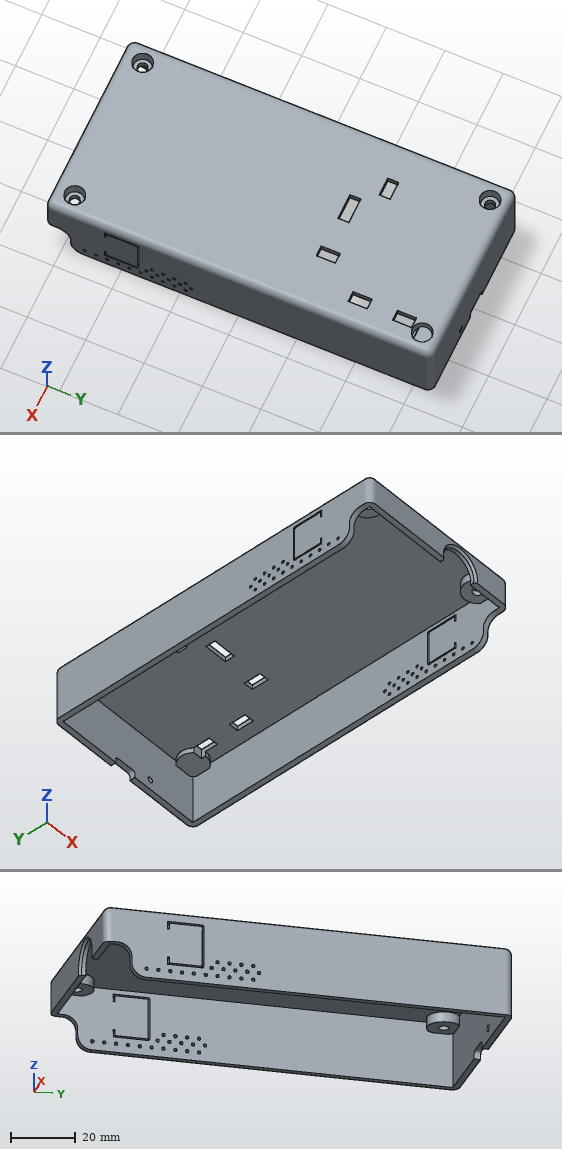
import cadquery as cq

WIDTH = 65.0
LENGTH = 132.5
HEIGHT = 23.0
WALL = 2.1
TOP_THICKNESS = 2.0
EDGE_RADIUS = 2.5
FRONT_Y = -LENGTH / 2
BACK_Y = LENGTH / 2
CEILING_Z = HEIGHT - TOP_THICKNESS
OVERCUT = 1.3
ACROSS = WIDTH + 2 * OVERCUT

STEP_HEIGHT = 10.9
STEP_DEPTH = 8.7
STEP_RADIUS = 4.5

ARCH_X = 9.8
ARCH_Z = 12.3
ARCH_DIAMETER = 14.3
ARCH_BEVEL = 0.8

NOTCH_X = -1.2
NOTCH_WIDTH = 8.9
NOTCH_HEIGHT = 2.5
NOTCH_CORNER_RADIUS = 1.0
PIN_HOLE_X = 10.5
PIN_HOLE_Z = 4.1
PIN_HOLE_DIAMETER = 2.0

SCREW_X = 25.8
SCREW_BACK_Y = 59.9
SCREW_FRONT_Y = -59.1
SEAT_TOP_DIAMETER = 6.8
SEAT_FLOOR_DIAMETER = 6.1
SEAT_DEPTH = 3.3
SCREW_HOLE_DIAMETER = 3.5
SEAT_FLOOR_THICKNESS = 2.0
BOSS_DIAMETER = SEAT_TOP_DIAMETER + 2 * SEAT_FLOOR_THICKNESS
THROUGH_SCREWS = [(-SCREW_X, SCREW_BACK_Y), (-SCREW_X, SCREW_FRONT_Y), (SCREW_X, SCREW_FRONT_Y)]

BLIND_X = SCREW_X
BLIND_Y = SCREW_BACK_Y
BLIND_DEPTH = TOP_THICKNESS
BLIND_STEP_OFFSET = 2.1
BLIND_STEP_DEPTH = 0.7
BLIND_PAD_THICKNESS = 1.3

WINDOW_WIDTH = 3.7
WINDOW_LENGTH = 6.5
LONG_WINDOW_LENGTH = 9.1
WINDOW_CUT_DEPTH = BLIND_DEPTH + BLIND_STEP_DEPTH + BLIND_PAD_THICKNESS + OVERCUT
WINDOWS = [
    (23.7, 52.9, WINDOW_WIDTH, WINDOW_LENGTH),
    (23.3, 37.5, WINDOW_WIDTH, WINDOW_LENGTH),
    (12.6, 21.7, WINDOW_WIDTH, WINDOW_LENGTH),
    (-16.5, 29.4, WINDOW_LENGTH, WINDOW_WIDTH),
    (-5.0, 21.1, LONG_WINDOW_LENGTH, WINDOW_WIDTH),
]

VENT_DIAMETER = 1.0
VENT_PITCH = 3.8
VENT_FRONT_Y = -52.7
VENT_ROWS = [(0, 2.9, 10), (5.5, 5.4, 5), (6, 7.5, 4)]

SLIT_WIDTH = 0.5
SLIT_LENGTH = 11.8
SLIT_HEIGHT = 14.5
SLIT_CENTER_Y = -40.0
SLIT_CENTER_Z = 12.3
SLIT_CORNER = 0.8
SLIT_GAP = 9.5


def block(x_size, y_size, z_size, x, y, z_bottom):
    """Box centred on (x, y) and standing on z_bottom."""
    base = cq.Workplane("XY", origin=(x, y, z_bottom))
    return base.box(x_size, y_size, z_size, centered=(True, True, False))


def upright_cylinder(diameter, x, y, z_bottom, z_top):
    return cq.Workplane("XY", origin=(x, y, z_bottom)).circle(diameter / 2).extrude(z_top - z_bottom)


def side_plane():
    """Sketch plane just outside the left side; local x is Y and local y is Z, facing +X."""
    return cq.Workplane("YZ", origin=(-WIDTH / 2 - OVERCUT, 0, 0))


def rounded_shell():
    outer = block(WIDTH, LENGTH, HEIGHT, 0, 0, 0)
    outer = outer.edges("|Z or >Z").fillet(EDGE_RADIUS)
    return outer.cut(block(WIDTH - 2 * WALL, LENGTH - 2 * WALL, CEILING_Z, 0, 0, 0))


def front_step():
    end_y = FRONT_Y + STEP_DEPTH
    outside_y = FRONT_Y - OVERCUT
    profile = (
        side_plane()
        .moveTo(outside_y, 0)
        .lineTo(end_y + STEP_RADIUS, 0)
        .radiusArc((end_y, STEP_RADIUS), STEP_RADIUS)
        .lineTo(end_y, STEP_HEIGHT - STEP_RADIUS)
        .radiusArc((end_y - STEP_RADIUS, STEP_HEIGHT), -STEP_RADIUS)
        .lineTo(outside_y, STEP_HEIGHT)
        .close()
    )
    return profile.extrude(ACROSS)


def front_arch():
    plane = cq.Workplane("XZ", origin=(ARCH_X, FRONT_Y, ARCH_Z))
    opening = plane.circle(ARCH_DIAMETER / 2).extrude(-WALL)
    mouth = plane.circle(ARCH_DIAMETER / 2 + ARCH_BEVEL).workplane(offset=-ARCH_BEVEL)
    bevel = mouth.circle(ARCH_DIAMETER / 2).loft()
    return opening.union(bevel)


def back_wall_openings():
    start_y = BACK_Y - WALL - OVERCUT
    depth = WALL + 2 * OVERCUT
    notch = block(NOTCH_WIDTH, depth, NOTCH_HEIGHT, NOTCH_X, start_y + depth / 2, 0)
    notch = notch.edges("|Y and >Z").fillet(NOTCH_CORNER_RADIUS)
    plane = cq.Workplane("XZ", origin=(PIN_HOLE_X, start_y, PIN_HOLE_Z))
    return notch.union(plane.circle(PIN_HOLE_DIAMETER / 2).extrude(-depth))


def tapered_recess(x, y, depth):
    """Recess in the top face that narrows from the seat's top diameter to its floor diameter."""
    floor = cq.Workplane("XY", origin=(x, y, HEIGHT - depth)).circle(SEAT_FLOOR_DIAMETER / 2)
    return floor.workplane(offset=depth).circle(SEAT_TOP_DIAMETER / 2).loft()


def add_screw_seat(body, x, y):
    floor_z = HEIGHT - SEAT_DEPTH
    boss_z = floor_z - SEAT_FLOOR_THICKNESS
    boss = upright_cylinder(BOSS_DIAMETER, x, y, boss_z, CEILING_Z)
    hole = upright_cylinder(SCREW_HOLE_DIAMETER, x, y, boss_z, HEIGHT)
    return body.union(boss).cut(tapered_recess(x, y, SEAT_DEPTH)).cut(hole)


def add_blind_recess(body):
    floor_z = HEIGHT - BLIND_DEPTH
    deep_z = floor_z - BLIND_STEP_DEPTH
    pad_z = deep_z - BLIND_PAD_THICKNESS
    pad = upright_cylinder(BOSS_DIAMETER, BLIND_X, BLIND_Y, pad_z, CEILING_Z)
    recess = tapered_recess(BLIND_X, BLIND_Y, BLIND_DEPTH + BLIND_STEP_DEPTH)
    ledge_y = BLIND_Y - BLIND_STEP_OFFSET + SEAT_TOP_DIAMETER / 2
    ledge = block(SEAT_TOP_DIAMETER, SEAT_TOP_DIAMETER, BLIND_STEP_DEPTH, BLIND_X, ledge_y, deep_z)
    return body.union(pad).cut(recess.cut(ledge))


def top_windows():
    cuts = cq.Workplane("XY")
    for x, y, x_size, y_size in WINDOWS:
        cuts = cuts.union(block(x_size, y_size, WINDOW_CUT_DEPTH, x, y, HEIGHT - WINDOW_CUT_DEPTH))
    return cuts


def side_vents():
    points = []
    for first_step, z, count in VENT_ROWS:
        points += [(VENT_FRONT_Y + (first_step + i) * VENT_PITCH, z) for i in range(count)]
    return side_plane().pushPoints(points).circle(VENT_DIAMETER / 2).extrude(ACROSS)


def side_slit():
    frame = side_plane().center(SLIT_CENTER_Y, SLIT_CENTER_Z)
    outer = frame.rect(SLIT_LENGTH, SLIT_HEIGHT).extrude(ACROSS)
    outer = outer.edges("|X and >Y").fillet(SLIT_CORNER)
    inner = frame.rect(SLIT_LENGTH - 2 * SLIT_WIDTH, SLIT_HEIGHT - 2 * SLIT_WIDTH).extrude(ACROSS)
    gap = frame.center(-SLIT_LENGTH / 2, 0).rect(4 * SLIT_WIDTH, SLIT_GAP).extrude(ACROSS)
    return outer.cut(inner).cut(gap)


result = rounded_shell()
for screw_x, screw_y in THROUGH_SCREWS:
    result = add_screw_seat(result, screw_x, screw_y)
result = add_blind_recess(result)
for cutter in (front_step(), front_arch(), back_wall_openings(), top_windows(), side_vents(), side_slit()):
    result = result.cut(cutter)